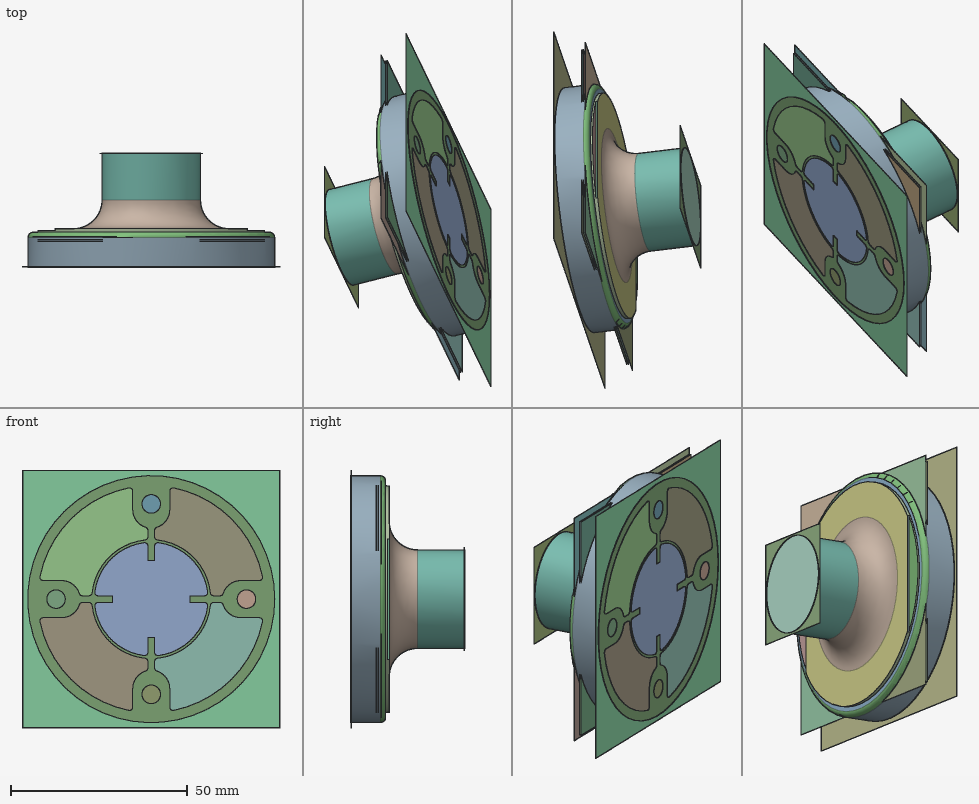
import cadquery as cq
import math


total_depth = 32.4
flange_radius = 35.0
flange_depth = 10.0
rim_round = 1.5
boss_radius = 32.1
boss_depth = 11.0
boss_step_depth = 10.5
boss_top_half_width = 27.25
tube_radius = 14.0
flare_radius = 8.0

sheet_thickness = 0.1
front_sheet_width = 72.8
front_sheet_height = 72.85
rear_sheet_side = 29.15
sheet_setback = 0.15
rim_sheet_side = 67.0
rim_sheet_depth = 8.7
inner_sheet_depths = (7.3, 7.8)

relief_depth = 0.15
relief_radius = boss_radius
wall_outer_radius = 16.8
wall_inner_radius = 16.1
arm_count = 4
hole_distance = 26.95
hole_radius = 2.6
pad_half_width = 5.25
pad_center_distance = 25.35
rib_half_width = 0.95
rib_inner_end = 10.9
corner_round = 0.95


def cylinder(radius, depth):
    """Disc on the axis that runs back from the front face."""
    return cq.Workplane("XZ").circle(radius).extrude(-depth)


def square_sheet(width, height, front_depth):
    """Thin sheet across the axis with its front side at the given depth."""
    plane = cq.Workplane("XZ", origin=(0, front_depth, 0))
    return plane.rect(width, height).extrude(-sheet_thickness)


def make_body():
    """Revolve the flange, the boss, the flare and the tube."""
    flare_end_radius = tube_radius + flare_radius
    flare_start_depth = boss_depth + flare_radius
    diagonal = math.sqrt(0.5)
    rim_middle = (
        flange_radius - rim_round * (1 - diagonal),
        flange_depth - rim_round * (1 - diagonal),
    )
    flare_middle = (
        flare_end_radius - flare_radius * diagonal,
        flare_start_depth - flare_radius * diagonal,
    )
    return (
        cq.Workplane("XY")
        .lineTo(flange_radius, 0)
        .lineTo(flange_radius, flange_depth - rim_round)
        .threePointArc(rim_middle, (flange_radius - rim_round, flange_depth))
        .lineTo(boss_radius, flange_depth)
        .lineTo(boss_radius, boss_depth)
        .lineTo(flare_end_radius, boss_depth)
        .threePointArc(flare_middle, (tube_radius, flare_start_depth))
        .lineTo(tube_radius, total_depth)
        .lineTo(0, total_depth)
        .close()
        .revolve(360, (0, 0, 0), (0, 1, 0))
    )


def make_boss_steps():
    """Material that is removed to lower the boss at its +X and -X ends."""
    step_width = boss_radius - boss_top_half_width
    step_center = boss_top_half_width + step_width / 2
    plane = cq.Workplane("XZ", origin=(0, boss_step_depth, 0))
    return (
        plane.pushPoints([(-step_center, 0), (step_center, 0)])
        .rect(step_width, 2 * boss_radius)
        .extrude(boss_step_depth - boss_depth)
    )


def make_arm():
    """Raised screw pad with its rib, along +X."""
    pad_end = (pad_center_distance, -pad_half_width)
    pad_tip = (pad_center_distance - pad_half_width, 0)
    pad = (
        cq.Workplane("XZ")
        .moveTo(flange_radius, pad_half_width)
        .lineTo(pad_center_distance, pad_half_width)
        .threePointArc(pad_tip, pad_end)
        .lineTo(flange_radius, -pad_half_width)
        .close()
        .extrude(-relief_depth)
    )
    rib_length = pad_center_distance - rib_inner_end
    rib = (
        cq.Workplane("XZ")
        .center(rib_inner_end + rib_length / 2, 0)
        .rect(rib_length, 2 * rib_half_width)
        .extrude(-relief_depth)
    )
    return pad.union(rib)


def around_axis(shape):
    """Copies of a +X shape, evenly spaced about the axis."""
    return [shape.rotate((0, 0, 0), (0, 1, 0), 360 / arm_count * i) for i in range(arm_count)]


def make_relief():
    """Sunken areas left between the rim, the round wall, the pads and the ribs."""
    wall = cylinder(wall_outer_radius, relief_depth).cut(cylinder(wall_inner_radius, relief_depth))
    relief = cylinder(relief_radius, relief_depth).cut(wall)
    for arm in around_axis(make_arm()):
        relief = relief.cut(arm)

    neck_x = pad_center_distance - math.sqrt(pad_half_width**2 - rib_half_width**2)
    neck_radius = math.hypot(neck_x, rib_half_width)
    corner_radii = (relief_radius, wall_outer_radius, wall_inner_radius, neck_radius)

    def is_corner(edge):
        center = edge.Center()
        distance = math.hypot(center.x, center.z)
        off_axes = min(abs(center.x), abs(center.z)) > rib_half_width / 2
        return off_axes and any(math.isclose(distance, r, rel_tol=1e-4) for r in corner_radii)

    return relief.edges("|Y").filter(is_corner).fillet(corner_round)


def make_holes():
    """Shallow round recesses, one in each screw pad."""
    hole = cylinder(hole_radius, relief_depth).translate((hole_distance, 0, 0))
    return around_axis(hole)


result = make_body().cut(make_boss_steps())
result = result.cut(make_relief())
for screw_hole in make_holes():
    result = result.cut(screw_hole)

result = result.union(square_sheet(front_sheet_width, front_sheet_height, sheet_setback))
rear_sheet_depth = total_depth - sheet_setback - sheet_thickness
result = result.union(square_sheet(rear_sheet_side, rear_sheet_side, rear_sheet_depth))
result = result.union(square_sheet(rim_sheet_side, rim_sheet_side, rim_sheet_depth))
for inner_depth in inner_sheet_depths:
    result = result.union(square_sheet(2 * boss_radius, 2 * boss_radius, inner_depth))